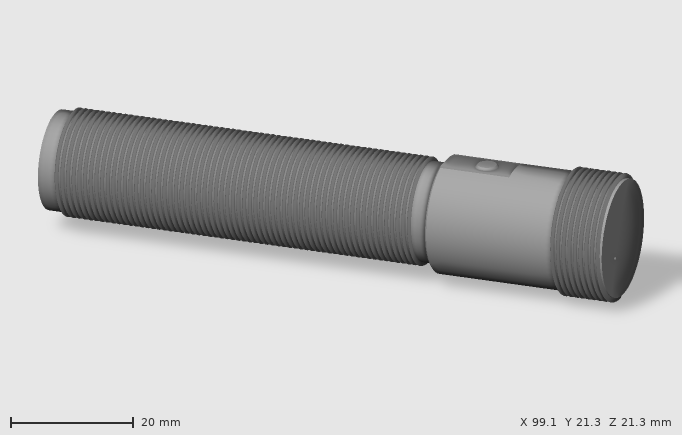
import cadquery as cq

total_length = 99.05
pin_tip_height = 0.2
housing_length = total_length - pin_tip_height

barrel_radius = 8.3
collar_radius = 19.7 / 2
collar_start = 67.9
collar_chamfer = 0.3

thread_pitch = 1.0
ridge_base_width = 0.8 * thread_pitch
ridge_embed = 0.1
barrel_crest_radius = 9.0
barrel_thread_start = 2.8
stretch_turns = 7
barrel_stretches = 9
stretch_length = stretch_turns * thread_pitch
collar_crest_radius = 21.3 / 2
collar_thread_start = 89.7
collar_thread_turns = 8.75

flat_end = 80.2
flat_height = 9.3

lamp_x = 75.2
lamp_radius = 2.0
lamp_height = 0.4
lamp_bevel_width = 0.4

pin_radius = 0.2
pin_y = -3.8
pin_z = -2.2


def cylinder_along_x(start, end, radius):
    return cq.Workplane("YZ").workplane(offset=start).circle(radius).extrude(end - start)


def thread_ridge(start, turns, root_radius, crest_radius):
    """Helical ridge around X that begins on the +Y side with its centre at X = start."""
    base_radius = root_radius - ridge_embed
    helix = cq.Wire.makeHelix(thread_pitch, turns * thread_pitch, base_radius)
    ridge = (
        cq.Workplane("XZ")
        .polyline([
            (base_radius, -ridge_base_width / 2),
            (crest_radius, 0),
            (base_radius, ridge_base_width / 2),
        ])
        .close()
        .sweep(cq.Workplane(helix), isFrenet=True)
    )
    return (
        ridge.rotate((0, 0, 0), (0, 1, 0), 90)
        .rotate((0, 0, 0), (1, 0, 0), 90)
        .translate((start, 0, 0))
        .val()
    )


def make_housing():
    barrel = cylinder_along_x(0, collar_start, barrel_radius)
    collar = cylinder_along_x(collar_start, housing_length, collar_radius)
    collar = collar.faces("<X").chamfer(collar_chamfer)

    flat_cut = cq.Workplane("XY").box(
        flat_end - collar_start, 2 * collar_radius, collar_radius, centered=(False, True, False)
    ).translate((collar_start, 0, flat_height))

    pin_tip = cylinder_along_x(housing_length, total_length, pin_radius).translate((0, pin_y, pin_z))

    barrel_ridges = [
        thread_ridge(
            barrel_thread_start + index * stretch_length, stretch_turns, barrel_radius, barrel_crest_radius
        )
        for index in range(barrel_stretches)
    ]
    collar_ridge = thread_ridge(
        collar_thread_start, collar_thread_turns, collar_radius, collar_crest_radius
    )
    threaded_barrel = barrel.val().fuse(*barrel_ridges)
    threaded_collar = collar.cut(flat_cut).val().fuse(collar_ridge)
    return threaded_barrel.fuse(threaded_collar, pin_tip.val()).Solids()[0]


def make_lamp():
    return (
        cq.Workplane("XY", origin=(lamp_x, 0, flat_height))
        .circle(lamp_radius)
        .workplane(offset=lamp_height)
        .circle(lamp_radius - lamp_bevel_width)
        .loft(ruled=True)
    )


housing = make_housing()
lamp = make_lamp()

result = cq.Compound.makeCompound([housing, lamp.val()])